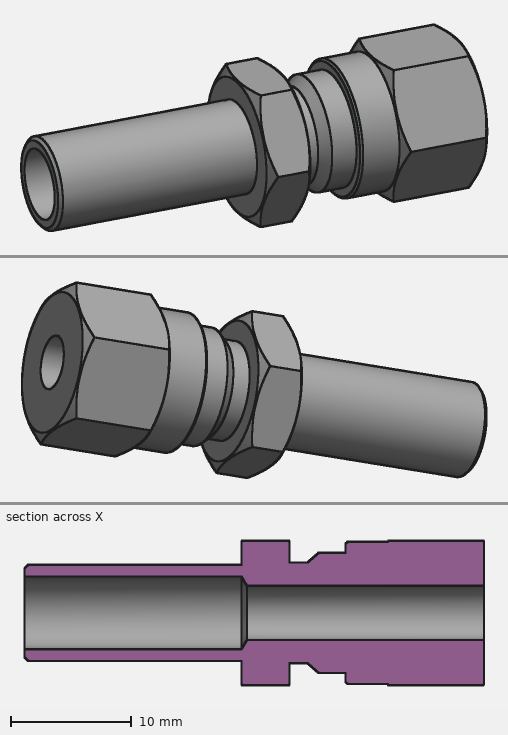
import cadquery as cq
import math

total_length = 38.1
tube_length = 17.98
small_hex_length = 4.0
large_hex_length = 8.0
collar_length = 3.5
neck_length = 2.2
neck_taper_length = 0.9

across_flats = 12.0
hex_end_radius = 5.9
hex_chamfer_angle = 30.0

tube_radius = 4.0
tube_chamfer = 0.3
stem_radius = 4.2
neck_radius = 5.0
collar_radius = 5.9
collar_chamfer = 0.2

tube_bore_radius = 3.0
passage_radius = 2.25
bore_cone_length = 0.45

tube_mouth = -total_length / 2
small_hex_start = tube_mouth + tube_length
small_hex_end = small_hex_start + small_hex_length
large_end = total_length / 2
large_hex_start = large_end - large_hex_length
collar_start = large_hex_start - collar_length
neck_start = collar_start - neck_length
neck_taper_start = neck_start - neck_taper_length


def revolve_profile(points):
    """Turn a closed (radius, y) outline about the Y axis."""
    return cq.Workplane("XY").polyline(points).close().revolve(360, (0, 0, 0), (0, 1, 0))


def chamfered_hex(y_start, y_end):
    """Hexagonal nut with conical chamfers on the corners at both ends."""
    across_corners = across_flats / math.cos(math.radians(30))
    corner_radius = across_corners / 2
    chamfer_depth = (corner_radius - hex_end_radius) * math.tan(math.radians(hex_chamfer_angle))
    prism = (
        cq.Workplane("XZ", origin=(0, y_start, 0))
        .polygon(6, across_corners)
        .extrude(-(y_end - y_start))
    )
    envelope = revolve_profile([
        (0, y_start),
        (hex_end_radius, y_start),
        (corner_radius, y_start + chamfer_depth),
        (corner_radius, y_end - chamfer_depth),
        (hex_end_radius, y_end),
        (0, y_end),
    ])
    return prism.intersect(envelope)


turned_body = revolve_profile([
    (0, tube_mouth),
    (tube_radius - tube_chamfer, tube_mouth),
    (tube_radius, tube_mouth + tube_chamfer),
    (tube_radius, small_hex_start),
    (stem_radius, small_hex_start),
    (stem_radius, neck_taper_start),
    (neck_radius, neck_start),
    (neck_radius, collar_start),
    (collar_radius - collar_chamfer, collar_start),
    (collar_radius, collar_start + collar_chamfer),
    (collar_radius, large_hex_start),
    (0, large_hex_start),
])

bore = revolve_profile([
    (0, tube_mouth),
    (tube_bore_radius, tube_mouth),
    (tube_bore_radius, small_hex_start),
    (passage_radius, small_hex_start + bore_cone_length),
    (passage_radius, large_end),
    (0, large_end),
])

result = (
    turned_body
    .union(chamfered_hex(small_hex_start, small_hex_end))
    .union(chamfered_hex(large_hex_start, large_end))
    .cut(bore)
)